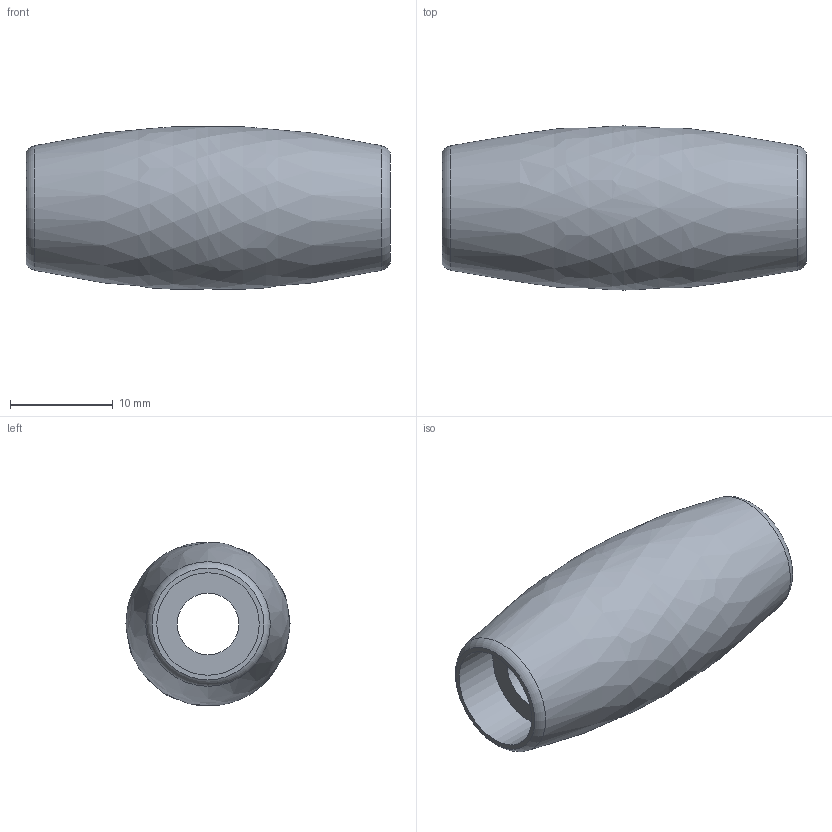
import cadquery as cq
import math

length = 35.5
max_radius = 8.0

barrel_arc_radius = 75.0

rim_width = 0.87
end_face_radius = 5.45
rim_arc_radius = 1.4

through_hole_diameter = 6.0
recess_diameter = 10.0
recess_depth = 4.65

half_length = length / 2


def barrel_radius_at(x):
    """Radius of the barrel surface at axial position x, measured from mid-length."""
    return max_radius - barrel_arc_radius + math.sqrt(barrel_arc_radius**2 - x**2)


def rim_arc_midpoint(start, end):
    """Middle of the outward-bulging rim arc running between two profile points."""
    dx = end[0] - start[0]
    dr = end[1] - start[1]
    chord = math.hypot(dx, dr)
    bulge = rim_arc_radius - math.sqrt(rim_arc_radius**2 - (chord / 2) ** 2)
    mid_x = (start[0] + end[0]) / 2 - bulge * dr / chord
    mid_r = (start[1] + end[1]) / 2 + bulge * dx / chord
    return (mid_x, mid_r)


def make_barrel():
    """Solid of revolution about X with a rounded rim at both ends."""
    barrel_end_x = half_length - rim_width
    barrel_end_radius = barrel_radius_at(barrel_end_x)
    left_face = (-half_length, end_face_radius)
    left_barrel = (-barrel_end_x, barrel_end_radius)
    right_barrel = (barrel_end_x, barrel_end_radius)
    right_face = (half_length, end_face_radius)
    return (
        cq.Workplane("XZ")
        .moveTo(-half_length, 0)
        .lineTo(*left_face)
        .threePointArc(rim_arc_midpoint(left_face, left_barrel), left_barrel)
        .threePointArc((0, max_radius), right_barrel)
        .threePointArc(rim_arc_midpoint(right_barrel, right_face), right_face)
        .lineTo(half_length, 0)
        .close()
        .revolve(360, (0, 0, 0), (1, 0, 0))
    )


def make_bore(diameter, depth):
    """Cylinder along X, starting at the -X end face."""
    return cq.Workplane("YZ", origin=(-half_length, 0, 0)).circle(diameter / 2).extrude(depth)


result = (
    make_barrel()
    .cut(make_bore(through_hole_diameter, length))
    .cut(make_bore(recess_diameter, recess_depth))
)